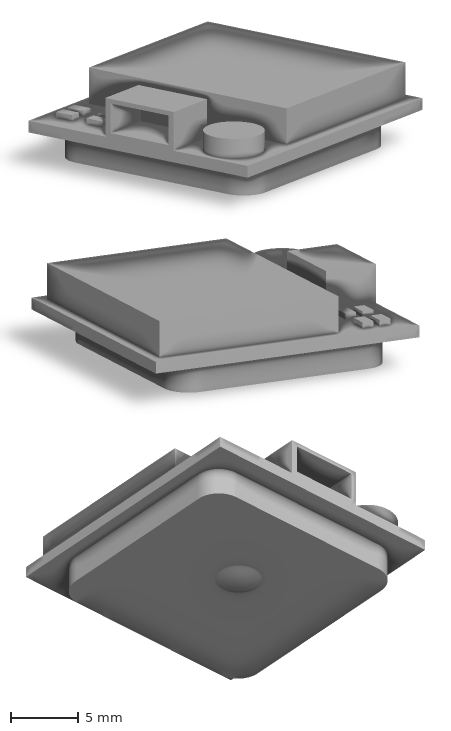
import cadquery as cq

board_width = 20.2
board_length = 22.1
board_thickness = 0.9

shield_width = 18.23
shield_length = 15.0
shield_height = 2.8
shield_front = 6.28

socket_width = 6.3
socket_length = 4.2
socket_height = 3.0
socket_x = 0.13
socket_side_wall = 0.46
socket_wall = 0.35

battery_diameter = 4.6
battery_height = 1.55
battery_x = 6.8
battery_y = 2.78

chip_width = 1.45
chip_length = 0.9
chip_height = 0.46
chip_first_x = -8.13
chip_first_y = 2.25
chip_pitch_x = 2.78
chip_pitch_y = 1.44

antenna_size = 18.0
antenna_thickness = 2.23
antenna_corner_radius = 2.0
antenna_front = 1.75
dome_diameter = 3.5
dome_height = 0.27
dome_y = 9.55


def block(width, length, height, x, front, bottom=0.0):
    """Box centred at x, reaching back from front and up from bottom."""
    base = cq.Workplane("XY", origin=(x, front + length / 2, bottom))
    return base.rect(width, length).extrude(height)


def make_board():
    return block(board_width, board_length, board_thickness, 0, 0, -board_thickness)


def make_shield():
    return block(shield_width, shield_length, shield_height, 0, shield_front)


def make_socket():
    shell = block(socket_width, socket_length, socket_height, socket_x, 0)
    cavity = block(
        socket_width - 2 * socket_side_wall,
        socket_length - socket_wall,
        socket_height - 2 * socket_wall,
        socket_x,
        0,
        socket_wall,
    )
    return shell.cut(cavity)


def make_battery():
    base = cq.Workplane("XY", origin=(battery_x, battery_y, 0))
    return base.circle(battery_diameter / 2).extrude(battery_height)


def make_chip(column, row):
    x = chip_first_x + column * chip_pitch_x
    y = chip_first_y + row * chip_pitch_y
    return block(chip_width, chip_length, chip_height, x, y - chip_length / 2)


def make_dome(base_z):
    """Shallow spherical cap hanging below base_z."""
    dome_radius = dome_diameter / 2
    sphere_radius = (dome_radius**2 + dome_height**2) / (2 * dome_height)
    sphere_z = base_z - dome_height + sphere_radius
    sphere = cq.Workplane("XY", origin=(0, dome_y, sphere_z)).sphere(sphere_radius)
    cap_space = block(
        dome_diameter, dome_diameter, dome_height, 0, dome_y - dome_radius, base_z - dome_height
    )
    return sphere.intersect(cap_space)


def make_antenna():
    bottom = -board_thickness - antenna_thickness
    patch = block(antenna_size, antenna_size, antenna_thickness, 0, antenna_front, bottom)
    patch = patch.edges("|Z").fillet(antenna_corner_radius)
    return patch.union(make_dome(bottom))


board = make_board()
shield = make_shield()
socket = make_socket()
battery = make_battery()
chips = [make_chip(column, row) for column in range(2) for row in range(2)]
antenna = make_antenna()

result = cq.Compound.makeCompound(
    [
        board.val(),
        shield.val(),
        socket.val(),
        battery.val(),
        *[chip.val() for chip in chips],
        antenna.solids().val(),
    ]
)